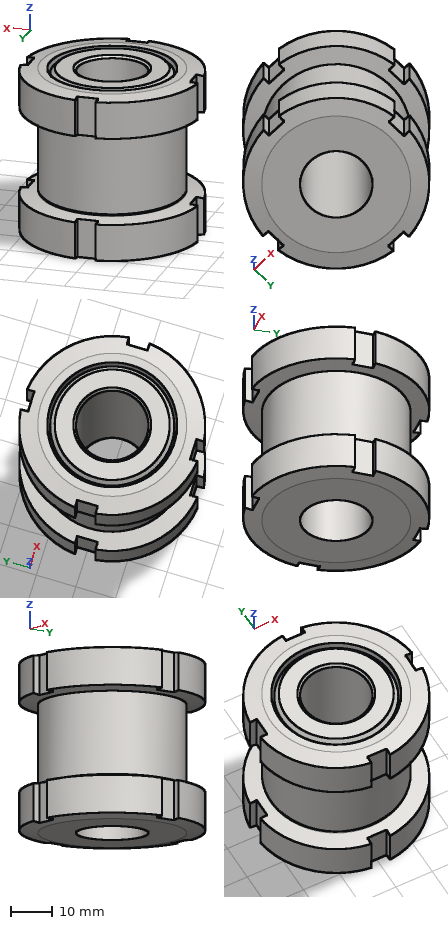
import cadquery as cq

total_height = 42.0

flange_diameter = 45.02
flange_height = 10.5
face_diameter = 36.0
face_taper_height = 0.6
slot_width = 5.2
slot_floor_radius = 20.5
slot_count = 4

sleeve_diameter = face_diameter
sleeve_bore_diameter = 31.4
sleeve_chamfer = 0.5

stem_diameter = 30.0
stem_chamfer = 1.1

bore_diameter = 17.5
bore_chamfer = 0.65


def cylinder(diameter, bottom, top):
    """Upright cylinder on the Z axis between two heights."""
    return cq.Workplane("XY").workplane(offset=bottom).circle(diameter / 2).extrude(top - bottom)


def make_flange(bottom):
    """Disc with slightly conical rims on both faces and spanner slots around its edge."""
    top = bottom + flange_height
    face_radius = face_diameter / 2
    rim_radius = flange_diameter / 2
    flange = (
        cq.Workplane("XZ")
        .moveTo(0, bottom)
        .lineTo(face_radius, bottom)
        .lineTo(rim_radius, bottom + face_taper_height)
        .lineTo(rim_radius, top - face_taper_height)
        .lineTo(face_radius, top)
        .lineTo(0, top)
        .close()
        .revolve(360, (0, 0, 0), (0, 1, 0))
    )
    slot_length = rim_radius + slot_width - slot_floor_radius
    for index in range(slot_count):
        slot = (
            cq.Workplane("XY")
            .box(slot_length, slot_width, flange_height, centered=(False, True, False))
            .translate((slot_floor_radius, 0, bottom))
            .rotate((0, 0, 0), (0, 0, 1), index * 360 / slot_count)
        )
        flange = flange.cut(slot)
    return flange


def make_upper_nut():
    """Upper flange with its sleeve, bored through to clear the stem."""
    sleeve = cylinder(sleeve_diameter, flange_height, total_height - flange_height)
    sleeve = sleeve.faces("<Z").chamfer(sleeve_chamfer)
    nut = make_flange(total_height - flange_height).union(sleeve)
    return nut.cut(cylinder(sleeve_bore_diameter, flange_height, total_height))


def make_lower_base():
    """Lower flange with the hollow stem."""
    stem = cylinder(stem_diameter, flange_height, total_height)
    stem = stem.faces(">Z").chamfer(stem_chamfer)
    base = make_flange(0).union(stem)
    base = base.cut(cylinder(bore_diameter, 0, total_height))
    bore_mouth = cq.selectors.RadiusNthSelector(0)
    return base.faces(">Z").edges(bore_mouth).chamfer(bore_chamfer)


upper_nut = make_upper_nut()
lower_base = make_lower_base()

result = cq.Compound.makeCompound([upper_nut.val(), lower_base.val()])